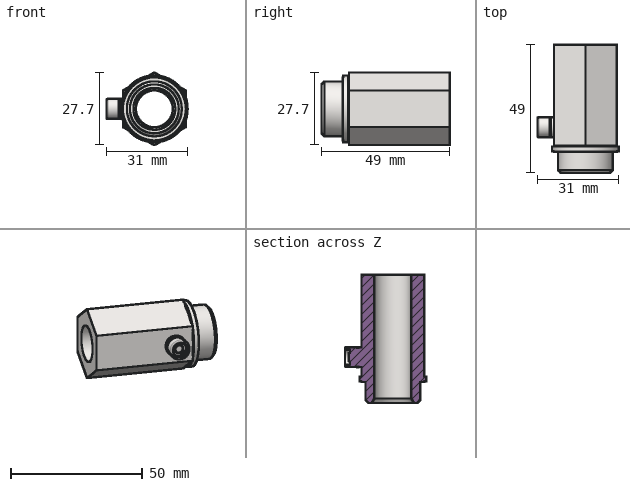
import cadquery as cq
import math

total_length = 49
hex_across_flats = 24
hex_sides = 6
hex_start = 10.5
bore_diameter = 14.0
bore_flare_diameter = 16.0
bore_flare_depth = 1.75

spigot_diameter = 20.95
spigot_length = 8.0
spigot_chamfer = 1.2

seal_diameter = 24
seal_rim_diameter = 25.5
seal_rim_inset = 0.3

port_reach = 18.25
port_position = 17.5
port_diameter = 7.7
port_edge_radius = 0.5
port_groove_diameter = 7.2
port_groove_width = 0.5
port_groove_setback = 4.65
port_hole_diameter = 5.7
port_hole_depth = 1.85
port_pin_diameter = 3.35
port_pin_height = 0.5
port_pin_chamfer = 0.15

overlap = 0.5


def cylinder_along_y(diameter, start, end):
    """Solid cylinder on the main axis between two Y positions."""
    plane = cq.Workplane("XZ", origin=(0, start, 0))
    return plane.circle(diameter / 2).extrude(start - end)


def cylinder_along_port(diameter, start, end):
    """Solid cylinder on the side port axis, between two distances from the main axis."""
    plane = cq.Workplane("YZ", origin=(-end, port_position, 0))
    return plane.circle(diameter / 2).extrude(end - start)


def make_hex_body():
    """Hexagonal bar with flats facing +X and -X and corners at +Z and -Z."""
    across_corners = hex_across_flats / math.cos(math.pi / hex_sides)
    bar = cq.Workplane("XZ", origin=(0, hex_start, 0)).polygon(hex_sides, across_corners)
    bar = bar.extrude(hex_start - total_length)
    return bar.rotate((0, 0, 0), (0, 1, 0), 180 / hex_sides)


def make_spigot():
    """Round spigot with a chamfered free end."""
    spigot = cylinder_along_y(spigot_diameter, 0, hex_start)
    return spigot.faces("<Y").edges().chamfer(spigot_chamfer)


def make_seal_ring():
    """Sealing ring against the hexagon, with a slightly narrower outer rim."""
    ring = cylinder_along_y(seal_diameter, spigot_length, hex_start)
    rim = cylinder_along_y(
        seal_rim_diameter, spigot_length + seal_rim_inset, hex_start - seal_rim_inset
    )
    return ring.union(rim)


def make_port():
    """Side port with a rounded tip, an outer groove and a blind hole holding a low pin."""
    port = cylinder_along_port(port_diameter, hex_across_flats / 2 - overlap, port_reach)
    port = port.faces("<X").edges().fillet(port_edge_radius)

    groove_outer = port_reach - port_groove_setback
    groove_inner = groove_outer - port_groove_width
    groove = cylinder_along_port(port_diameter + overlap, groove_inner, groove_outer)
    groove = groove.cut(cylinder_along_port(port_groove_diameter, groove_inner, groove_outer))

    hole_floor = port_reach - port_hole_depth
    hole = cylinder_along_port(port_hole_diameter, hole_floor, port_reach)
    pin = cylinder_along_port(port_pin_diameter, hole_floor, hole_floor + port_pin_height)
    pin = pin.faces("<X").edges().chamfer(port_pin_chamfer)
    return port.cut(groove).cut(hole).union(pin)


def make_bore():
    """Through bore with a conical flare at the spigot end."""
    bore_radius = bore_diameter / 2
    half_profile = cq.Workplane("XY").polyline([
        (0, 0),
        (bore_flare_diameter / 2, 0),
        (bore_radius, bore_flare_depth),
        (bore_radius, total_length),
        (0, total_length),
    ])
    return half_profile.close().revolve(360, (0, 0, 0), (0, 1, 0))


result = make_hex_body().union(make_spigot()).union(make_seal_ring())
result = result.union(make_port()).cut(make_bore())